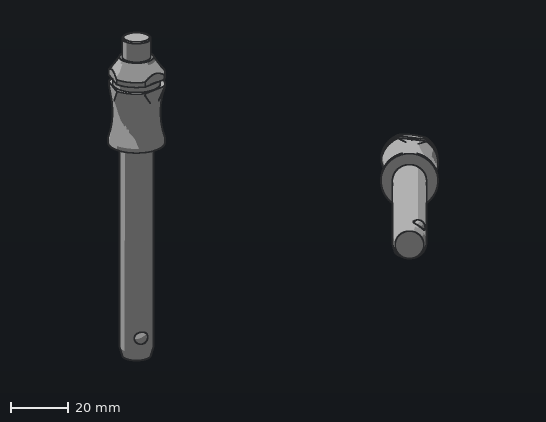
import cadquery as cq

total_length = 120.1
shank_radius = 6.0
tip_radius = 5.0
tip_height = 3.4

handle_radius = 10.03
waist_radius = 8.4
handle_base_z = 80.3
lower_band_height = 1.6
upper_band_height = 0.7
handle_top_z = 102.6
groove_height = 2.5

cap_band_height = 1.8
cap_cone_height = 4.7
cap_shoulder_radius = 6.6
cap_top_radius = 6.0
cap_top_z = 112.7

button_radius = 5.0
button_chamfer = 0.5

flat_count = 3
flat_distance = 8.8

ball_radius = 2.5
ball_reach = 7.5
ball_z = 8.8

flare_bottom_z = handle_base_z + lower_band_height
flare_top_z = handle_top_z - upper_band_height
waist_z = (flare_bottom_z + flare_top_z) / 2
cap_base_z = handle_top_z + groove_height
cone_base_z = cap_base_z + cap_band_height
cone_top_z = cone_base_z + cap_cone_height


def make_pin():
    """Revolve the half section of tip, shank, handle, cap and button."""
    section = (
        cq.Workplane("XZ")
        .lineTo(tip_radius, 0)
        .lineTo(shank_radius, tip_height)
        .lineTo(shank_radius, handle_base_z)
        .lineTo(handle_radius, handle_base_z)
        .lineTo(handle_radius, flare_bottom_z)
        .threePointArc((waist_radius, waist_z), (handle_radius, flare_top_z))
        .lineTo(handle_radius, handle_top_z)
        .lineTo(waist_radius, handle_top_z)
        .lineTo(waist_radius, cap_base_z)
        .lineTo(handle_radius, cap_base_z)
        .lineTo(handle_radius, cone_base_z)
        .lineTo(cap_shoulder_radius, cone_top_z)
        .lineTo(cap_top_radius, cap_top_z)
        .lineTo(button_radius, cap_top_z)
        .lineTo(button_radius, total_length - button_chamfer)
        .lineTo(button_radius - button_chamfer, total_length)
        .lineTo(0, total_length)
        .close()
    )
    return section.revolve(360, (0, 0, 0), (0, 1, 0))


def make_flat_cutter(angle):
    """Block outside one grip flat, reaching from the waist to the cap top."""
    size = 2 * handle_radius
    block = cq.Workplane("XY").box(size, size, cap_top_z - waist_z, centered=(True, False, False))
    block = block.translate((0, -flat_distance - size, waist_z))
    return block.rotate((0, 0, 0), (0, 0, 1), angle)


def make_ball(side):
    """Locking ball protruding from the shank on the given X side."""
    center_x = side * (ball_reach - ball_radius)
    return cq.Workplane("XY").sphere(ball_radius).translate((center_x, 0, ball_z))


result = make_pin()
for index in range(flat_count):
    result = result.cut(make_flat_cutter(index * 360 / flat_count))
for side in (-1, 1):
    result = result.union(make_ball(side))